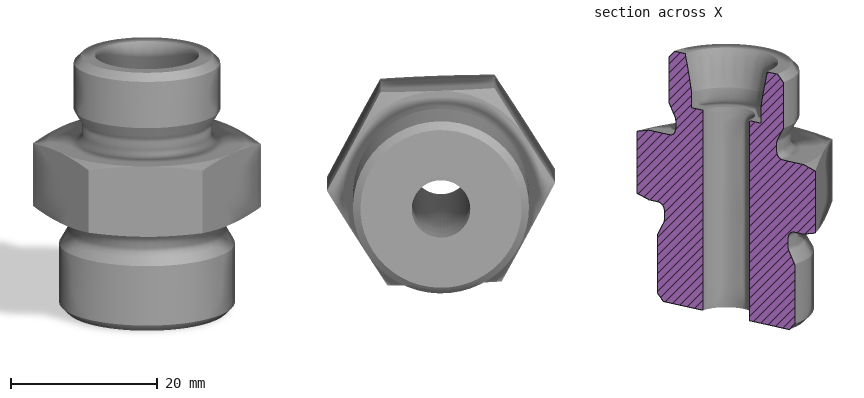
import cadquery as cq
import math

total_length = 36.0
hex_bottom = 14.0
hex_top = 23.98

hex_across_flats = 27.0
hex_chamfer_angle = 15.0

lower_diameter = 24.0
lower_neck_diameter = 21.7
lower_shoulder_height = 9.45
upper_diameter = 20.0
upper_neck_diameter = 17.7
upper_shoulder_height = 28.45
end_chamfer = 1.0
neck_fillet = 1.0
undercut_angle = 30.0

through_diameter = 8.0
socket_diameter = 12.0
mouth_diameter = 14.25
mouth_half_angle = 12.0
socket_depth = 7.5


def tan_deg(angle):
    return math.tan(math.radians(angle))


def make_hexagon():
    """Hexagonal collar with its corners bevelled on both faces."""
    height = hex_top - hex_bottom
    flat_radius = hex_across_flats / 2
    corner_radius = flat_radius / math.cos(math.radians(30))
    bevel_drop = (corner_radius - flat_radius) * tan_deg(hex_chamfer_angle)
    prism = (
        cq.Workplane("XY", origin=(0, 0, hex_bottom))
        .polygon(6, 2 * corner_radius)
        .extrude(height)
        .rotate((0, 0, 0), (0, 0, 1), 90)
    )
    bevel_envelope = (
        cq.Workplane("XZ")
        .moveTo(0, hex_bottom)
        .lineTo(flat_radius, hex_bottom)
        .lineTo(corner_radius, hex_bottom + bevel_drop)
        .lineTo(corner_radius, hex_top - bevel_drop)
        .lineTo(flat_radius, hex_top)
        .lineTo(0, hex_top)
        .close()
        .revolve(360, (0, 0, 0), (0, 1, 0))
    )
    return prism.intersect(bevel_envelope)


def make_turned_end(diameter, neck_diameter, end_z, shoulder_z, hex_face_z):
    """Chamfered cylinder joined to a hexagon face by a filleted undercut neck."""
    radius = diameter / 2
    neck_radius = neck_diameter / 2
    inward = math.copysign(1, hex_face_z - end_z)
    taper_length = (radius - neck_radius) / tan_deg(undercut_angle)
    taper_end_z = shoulder_z + inward * taper_length

    tangent_length = neck_fillet * tan_deg(undercut_angle / 2)
    slope = math.radians(undercut_angle)
    arc_center_radius = neck_radius + neck_fillet
    arc_neck_z = taper_end_z + inward * tangent_length
    arc_start = (
        neck_radius + tangent_length * math.sin(slope),
        taper_end_z - inward * tangent_length * math.cos(slope),
    )
    arc_middle = (
        arc_center_radius - neck_fillet * math.cos(slope / 2),
        arc_neck_z - inward * neck_fillet * math.sin(slope / 2),
    )

    root_start_z = hex_face_z - inward * neck_fillet
    quarter_offset = neck_fillet * math.sin(math.radians(45))
    root_middle = (
        arc_center_radius - quarter_offset,
        root_start_z + inward * quarter_offset,
    )
    return (
        cq.Workplane("XZ")
        .moveTo(0, end_z)
        .lineTo(radius - end_chamfer, end_z)
        .lineTo(radius, end_z + inward * end_chamfer)
        .lineTo(radius, shoulder_z)
        .lineTo(*arc_start)
        .threePointArc(arc_middle, (neck_radius, arc_neck_z))
        .lineTo(neck_radius, root_start_z)
        .threePointArc(root_middle, (arc_center_radius, hex_face_z))
        .lineTo(0, hex_face_z)
        .close()
        .revolve(360, (0, 0, 0), (0, 1, 0))
    )


def make_bore():
    """Stepped bore, open at both ends of the part."""
    taper_depth = (mouth_diameter - socket_diameter) / 2 / tan_deg(mouth_half_angle)
    socket_floor_z = total_length - socket_depth
    return (
        cq.Workplane("XZ")
        .lineTo(through_diameter / 2, 0)
        .lineTo(through_diameter / 2, socket_floor_z)
        .lineTo(socket_diameter / 2, socket_floor_z)
        .lineTo(socket_diameter / 2, total_length - taper_depth)
        .lineTo(mouth_diameter / 2, total_length)
        .lineTo(0, total_length)
        .close()
        .revolve(360, (0, 0, 0), (0, 1, 0))
    )


lower_end = make_turned_end(
    lower_diameter, lower_neck_diameter, 0, lower_shoulder_height, hex_bottom
)
upper_end = make_turned_end(
    upper_diameter, upper_neck_diameter, total_length, upper_shoulder_height, hex_top
)
result = make_hexagon().union(lower_end).union(upper_end).cut(make_bore())